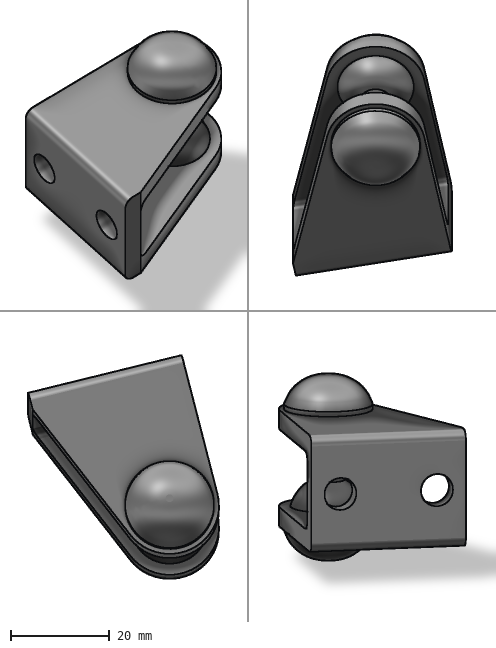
import cadquery as cq
import math

length = 40.0
width = 32.0
height = 24.0
wall = 4.0
bend_radius = 2.0

cheek_radius = 10.0
pin_x = cheek_radius
pin_y = length - cheek_radius

hole_diameter = 6.6
hole_edge_distance = 6.0

pin_length = 38.05
neck_radius = 6.6 / 2
neck_length = 5.1
head_radius = 18.0 / 2
head_rim_height = 1.0
crown_radius = 0.8
collar_radius = 7.7
collar_arc_radius = 8.8


def channel():
    """U-shaped section in the YZ plane, open toward +Y, centred on Z = 0."""
    outer = (
        cq.Workplane("XY")
        .box(width, length, height, centered=(False, False, True))
        .edges("|X and <Y")
        .fillet(bend_radius)
    )
    inner = (
        cq.Workplane("XY")
        .box(width, length, height - 2 * wall, centered=(False, False, True))
        .edges("|X and <Y")
        .fillet(bend_radius)
        .translate((0, wall, 0))
    )
    return outer.cut(inner)


def cheek_outline():
    """Cheek shape in the XY plane, extruded over the full bracket height."""
    corner_dx = width - pin_x
    corner_dy = wall - pin_y
    corner_distance = math.hypot(corner_dx, corner_dy)
    tangent_angle = math.atan2(corner_dy, corner_dx) + math.acos(cheek_radius / corner_distance)
    tangent_point = (
        pin_x + cheek_radius * math.cos(tangent_angle),
        pin_y + cheek_radius * math.sin(tangent_angle),
    )
    return (
        cq.Workplane("XY")
        .workplane(offset=-height / 2)
        .lineTo(width, 0)
        .lineTo(width, wall)
        .lineTo(*tangent_point)
        .threePointArc((pin_x, length), (0, pin_y))
        .close()
        .extrude(height)
    )


def mounting_holes():
    """Two round cutters through the web, at mid height."""
    centres = [(hole_edge_distance, 0), (width - hole_edge_distance, 0)]
    return cq.Workplane("XZ").pushPoints(centres).circle(hole_diameter / 2).extrude(-2 * wall)


def upper_head():
    """Domed head and collar of the upper cheek, revolved about the pin axis."""
    inner_face = height / 2 - wall
    outer_face = height / 2
    rim_top = outer_face + head_rim_height
    dome_top = pin_length / 2

    dome_rise = dome_top - rim_top
    dome_run = head_radius - crown_radius
    dome_arc_radius = (dome_run**2 + dome_rise**2) / (2 * dome_rise)

    profile = (
        cq.Workplane("XZ")
        .moveTo(0, neck_length / 2)
        .lineTo(neck_radius, neck_length / 2)
        .radiusArc((collar_radius, inner_face), -collar_arc_radius)
        .lineTo(collar_radius, outer_face)
        .lineTo(head_radius, outer_face)
        .lineTo(head_radius, rim_top)
        .radiusArc((crown_radius, dome_top), -dome_arc_radius)
        .lineTo(0, dome_top)
        .close()
    )
    return profile.revolve(360, (0, 0, 0), (0, 1, 0)).translate((pin_x, pin_y, 0))


def neck():
    """Plain middle of the pin, reaching into the collar at each end."""
    return cq.Workplane("XY").cylinder(height - 2 * wall, neck_radius).translate((pin_x, pin_y, 0))


bracket = channel().intersect(cheek_outline()).cut(mounting_holes())
head = upper_head()
result = bracket.union(neck()).union(head).union(head.mirror("XY"))